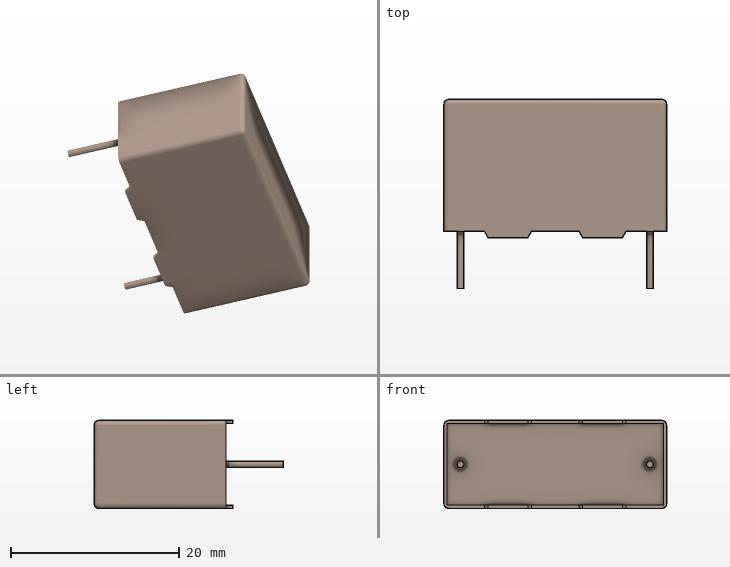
import cadquery as cq

length = 26.5
overall_depth = 22.5
thickness = 10.5

case_depth = 15.7
edge_radius = 0.6
wall = 0.4
recess_depth = 0.5

tab_height = 0.8
tab_base_width = 5.62
tab_tip_width = 4.72
tab_spacing = 11.24

pin_diameter = 0.8
pin_spacing = 22.5

pin_tip_y = case_depth - overall_depth
pin_length = recess_depth - pin_tip_y


def make_case_block():
    """Block with rounded long edges and a rounded back, square at the rim."""
    block = cq.Workplane("XY").box(length, case_depth, thickness, centered=(True, False, True))
    return block.edges("|Y or >Y").fillet(edge_radius)


def make_recess():
    """Shallow rectangular pocket inside the rim."""
    return cq.Workplane("XY").box(
        length - 2 * wall, recess_depth, thickness - 2 * wall, centered=(True, False, True)
    )


def make_tab(center_x, bottom_z):
    """Tapered tab, as thick as the wall, extending the rim toward -Y."""
    half_base = tab_base_width / 2
    half_tip = tab_tip_width / 2
    outline = [
        (center_x - half_base, 0),
        (center_x - half_tip, -tab_height),
        (center_x + half_tip, -tab_height),
        (center_x + half_base, 0),
    ]
    return cq.Workplane("XY", origin=(0, 0, bottom_z)).polyline(outline).close().extrude(wall)


def make_housing():
    """Recessed case with two tabs on each of its long walls."""
    housing = make_case_block().cut(make_recess())
    for center_x in (-tab_spacing / 2, tab_spacing / 2):
        for bottom_z in (-thickness / 2, thickness / 2 - wall):
            housing = housing.union(make_tab(center_x, bottom_z))
    return housing.solids()


def make_pin(center_x):
    """Round lead standing on the recess floor and pointing toward -Y."""
    floor = cq.Workplane("XZ", origin=(center_x, recess_depth, 0))
    return floor.circle(pin_diameter / 2).extrude(pin_length)


housing = make_housing()
pins = [make_pin(center_x) for center_x in (-pin_spacing / 2, pin_spacing / 2)]

result = cq.Compound.makeCompound([housing.val(), *[pin.val() for pin in pins]])